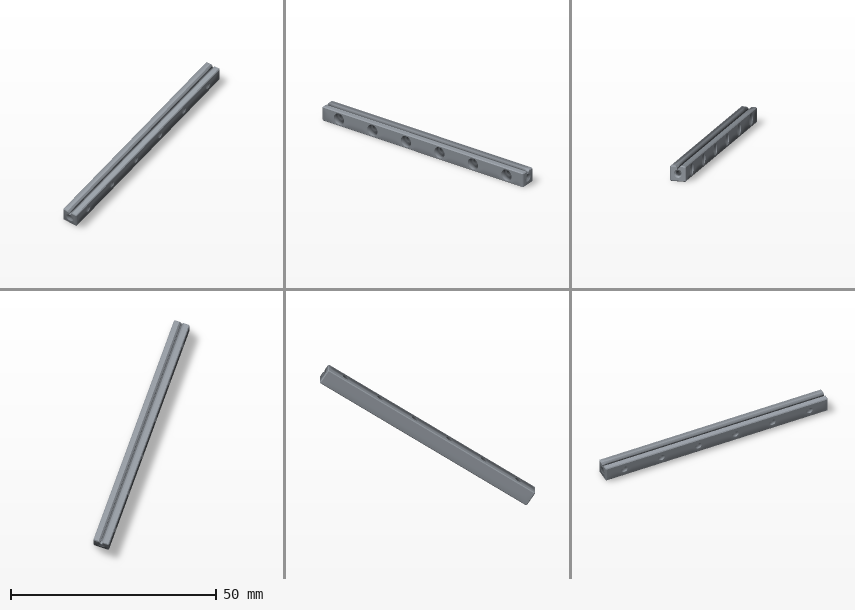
import cadquery as cq
import math

WIDTH = 4.0
LENGTH = 60.0
HEIGHT = 3.9
EDGE_CHAMFER = 0.205

GROOVE_WIDTH = 1.3
SLOT_WIDTH = 0.4
SLOT_DEPTH = 0.9

HOLE_COUNT = 6
HOLE_PITCH = LENGTH / HOLE_COUNT
HOLE_DIAMETER = 1.6
COUNTERBORE_DIAMETER = 3.0
COUNTERBORE_DEPTH = 1.4

END_HOLE_DIAMETER = 1.3
END_HOLE_DEPTH = 3.0
END_COUNTERSINK_DIAMETER = 2.05
COUNTERSINK_ANGLE = 90.0
DRILL_POINT_ANGLE = 118.0

OVERCUT = 0.6


def rail_body():
    """Rectangular bar with all its edges chamfered."""
    bar = cq.Workplane("XY").box(WIDTH, LENGTH, HEIGHT)
    return bar.edges().chamfer(EDGE_CHAMFER)


def groove_cutter():
    """Full-length cutter for the 45 degree flanks and the slot below them."""
    top = HEIGHT / 2
    flank_depth = (GROOVE_WIDTH - SLOT_WIDTH) / 2
    profile = [
        (-GROOVE_WIDTH / 2, top),
        (-SLOT_WIDTH / 2, top - flank_depth),
        (-SLOT_WIDTH / 2, top - SLOT_DEPTH),
        (SLOT_WIDTH / 2, top - SLOT_DEPTH),
        (SLOT_WIDTH / 2, top - flank_depth),
        (GROOVE_WIDTH / 2, top),
    ]
    return cq.Workplane("XZ").polyline(profile).close().extrude(LENGTH, both=True)


def mounting_hole_cutter(y):
    """Through hole along X, counterbored from the -X side."""
    side = cq.Workplane("YZ", origin=(-WIDTH / 2, y, 0))
    hole = side.circle(HOLE_DIAMETER / 2).extrude(WIDTH + OVERCUT)
    return hole.union(side.circle(COUNTERBORE_DIAMETER / 2).extrude(COUNTERBORE_DEPTH))


def end_hole_cutter():
    """Countersunk blind hole with a drill point, entering from the -Y end."""
    radius = END_HOLE_DIAMETER / 2
    sink_radius = END_COUNTERSINK_DIAMETER / 2
    sink_depth = (sink_radius - radius) / math.tan(math.radians(COUNTERSINK_ANGLE / 2))
    tip_depth = radius / math.tan(math.radians(DRILL_POINT_ANGLE / 2))
    mouth = -LENGTH / 2
    half_section = [
        (0, mouth),
        (sink_radius, mouth),
        (radius, mouth + sink_depth),
        (radius, mouth + END_HOLE_DEPTH),
        (0, mouth + END_HOLE_DEPTH + tip_depth),
    ]
    return cq.Workplane("XY").polyline(half_section).close().revolve(360, (0, 0, 0), (0, 1, 0))


result = rail_body().cut(groove_cutter())

for index in range(HOLE_COUNT):
    hole_y = (index - (HOLE_COUNT - 1) / 2) * HOLE_PITCH
    result = result.cut(mounting_hole_cutter(hole_y))

end_hole = end_hole_cutter()
result = result.cut(end_hole).cut(end_hole.mirror("XZ"))